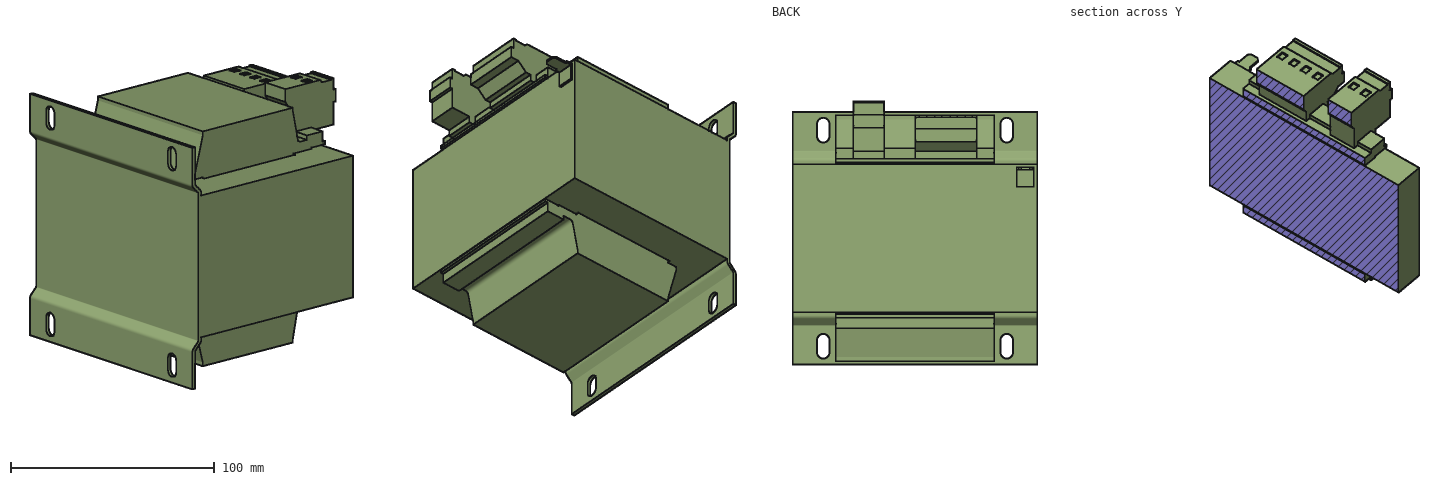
import cadquery as cq
import math


WIDTH = 120.05
FLANGE_HALF_HEIGHT = 62.0
PLATE_THICKNESS = 1.8
PLATE_OFFSET = 4.0
BEND_START_Z = 38.0
BEND_RISE = PLATE_OFFSET
BEND_INNER_RADIUS = 0.5
BEND_OUTER_RADIUS = BEND_INNER_RADIUS + PLATE_THICKNESS
SLOT_LENGTH = 12.0
SLOT_WIDTH = 6.0
SLOT_X = 45.0
SLOT_Z = 53.0

CORE_HALF_HEIGHT = 36.4
CORE_FRONT_Y = PLATE_OFFSET + PLATE_THICKNESS
CORE_BACK_Y = 105.4
WINDOW_HALF_WIDTH = 40.0
WINDOW_FRONT_Y = 25.7
WINDOW_BACK_Y = 85.4

COVER_HALF_WIDTH = 38.8
COVER_TOP_Z = 60.3
COVER_EDGE_BAND = 2.0
COVER_CLEARANCE = 0.3
COVER_FRONT_Y = 20.4
COVER_TOP_FRONT_Y = WINDOW_FRONT_Y
COVER_TOP_BACK_Y = 84.8
COVER_FOOT_BACK_Y = 88.3
FOOT_Z = 41.9
FOOT_FILLET = 2.0
RAIL_Z = 44.2
RAIL_FRONT_Y = 94.0
RAIL_BACK_Y = 104.3
LIP_BACK_Y = 105.9
LIP_TOP_Z = 38.9
LIP_BOTTOM_Z = 37.3
LIP_GAP_FRONT_Y = 97.2

TERMINAL_WIDTH = 15.0
TERMINAL_PAIR_LEFT_X = -30.2
TERMINAL_SINGLE_LEFT_X = 15.2
TERMINAL_FRONT_Y = 87.5
TERMINAL_STEM_FRONT_Y = 91.3
TERMINAL_STEM_BACK_Y = 108.0
TERMINAL_REAR_Y = 119.1
TERMINAL_HOOK_Y = 120.6
TERMINAL_TOP_Z = COVER_TOP_Z
TERMINAL_RAISE = 7.0
TERMINAL_ARM_Z = 42.6
TERMINAL_BOTTOM_Z = 39.1
FACE_HEIGHT = 6.6
FACE_CHAMFER_HEIGHT = 5.6
GROOVE_FRONT_Y = 110.3
GROOVE_FLOOR_FRONT_Y = 111.6
GROOVE_BACK_Y = 117.4
GROOVE_DEPTH = 1.4
REAR_LIP_DROP = 0.85
HOOK_TOP_DROP = 6.7
HOOK_BOTTOM_DROP = 13.1
BELLY_START_Y = 116.0
BELLY_END_Y = 111.0
WIRE_HOLE_WIDTH = 3.5
WIRE_HOLE_LENGTH = 4.2
WIRE_HOLE_DEPTH = 0.8
WIRE_HOLE_Y = 104.7
WIRE_HOLE_SPACING = 7.5

TAB_X = -54.1
TAB_BASE_WIDTH = 8.5
TAB_BLADE_WIDTH = 6.6
TAB_THICKNESS = 1.0
TAB_TOP_Z = 34.7
TAB_BOTTOM_Z = 25.2
TAB_SHOULDER_Y = 109.0
TAB_END_Y = 116.7
TAB_CHAMFER = 1.2


def box(x_min, x_max, y_min, y_max, z_min, z_max):
    size = (x_max - x_min, y_max - y_min, z_max - z_min)
    return cq.Workplane("XY").box(*size, centered=False).translate((x_min, y_min, z_min))


def extrude_profile(points, x_min, x_max):
    """Extrude a closed (y, z) outline along X."""
    profile = cq.Workplane("YZ").workplane(offset=x_min).polyline(points).close()
    return profile.extrude(x_max - x_min)


def fillet_x_edge(body, y, z, radius):
    """Round the edge parallel to X that passes nearest to (y, z)."""
    return body.edges(cq.selectors.NearestToPointSelector((0, y, z))).fillet(radius)


def make_flange():
    """Upper joggled flange of the mounting plate, from mid height to the top."""
    half_bend = math.atan2(PLATE_OFFSET, BEND_RISE) / 2
    back_shift = PLATE_THICKNESS * math.tan(half_bend)
    bend_end_z = BEND_START_Z + BEND_RISE
    back_y = PLATE_OFFSET + PLATE_THICKNESS
    outline = [
        (PLATE_OFFSET, 0),
        (PLATE_OFFSET, BEND_START_Z),
        (0, bend_end_z),
        (0, FLANGE_HALF_HEIGHT),
        (PLATE_THICKNESS, FLANGE_HALF_HEIGHT),
        (PLATE_THICKNESS, bend_end_z + back_shift),
        (back_y, BEND_START_Z + back_shift),
        (back_y, 0),
    ]
    flange = extrude_profile(outline, -WIDTH / 2, WIDTH / 2)
    flange = fillet_x_edge(flange, PLATE_OFFSET, BEND_START_Z, BEND_INNER_RADIUS)
    flange = fillet_x_edge(flange, 0, bend_end_z, BEND_OUTER_RADIUS)
    flange = fillet_x_edge(flange, PLATE_THICKNESS, bend_end_z + back_shift, BEND_INNER_RADIUS)
    flange = fillet_x_edge(flange, back_y, BEND_START_Z + back_shift, BEND_OUTER_RADIUS)
    slots = (
        cq.Workplane("XZ")
        .pushPoints([(-SLOT_X, SLOT_Z), (SLOT_X, SLOT_Z)])
        .slot2D(SLOT_LENGTH, SLOT_WIDTH, 90)
        .extrude(-PLATE_THICKNESS)
    )
    return flange.cut(slots)


def make_core():
    """Core block with the winding in its window and a narrow gap on each side."""
    core = box(
        -WIDTH / 2, WIDTH / 2, CORE_FRONT_Y, CORE_BACK_Y, -CORE_HALF_HEIGHT, CORE_HALF_HEIGHT
    )
    gap = box(
        COVER_HALF_WIDTH, WINDOW_HALF_WIDTH, WINDOW_FRONT_Y, WINDOW_BACK_Y,
        -CORE_HALF_HEIGHT, CORE_HALF_HEIGHT,
    )
    return core.cut(gap).cut(gap.mirror("YZ"))


def make_cover():
    """Upper winding cover: stands on the winding, clears the core, carries the terminal rail."""
    base_z = CORE_HALF_HEIGHT + COVER_CLEARANCE
    outline = [
        (WINDOW_FRONT_Y, CORE_HALF_HEIGHT),
        (WINDOW_FRONT_Y, base_z),
        (COVER_FRONT_Y, base_z),
        (COVER_FRONT_Y, base_z + COVER_EDGE_BAND),
        (COVER_TOP_FRONT_Y, COVER_TOP_Z - COVER_EDGE_BAND),
        (COVER_TOP_FRONT_Y, COVER_TOP_Z),
        (COVER_TOP_BACK_Y, COVER_TOP_Z),
        (COVER_TOP_BACK_Y, COVER_TOP_Z - COVER_EDGE_BAND),
        (COVER_FOOT_BACK_Y, FOOT_Z),
        (RAIL_FRONT_Y, FOOT_Z),
        (RAIL_FRONT_Y, RAIL_Z),
        (RAIL_BACK_Y, RAIL_Z),
        (RAIL_BACK_Y, LIP_TOP_Z),
        (LIP_BACK_Y, LIP_TOP_Z),
        (LIP_BACK_Y, LIP_BOTTOM_Z),
        (LIP_GAP_FRONT_Y, LIP_BOTTOM_Z),
        (LIP_GAP_FRONT_Y, base_z),
        (WINDOW_BACK_Y, base_z),
        (WINDOW_BACK_Y, CORE_HALF_HEIGHT),
    ]
    cover = extrude_profile(outline, -COVER_HALF_WIDTH, COVER_HALF_WIDTH)
    return fillet_x_edge(cover, COVER_FOOT_BACK_Y, FOOT_Z, FOOT_FILLET)


def make_terminal(left_x, top_z, belly):
    """Terminal block; belly is the (y, z) outline from the hook down to the arm."""
    face_bottom_z = top_z - FACE_HEIGHT
    outline = [
        (TERMINAL_STEM_FRONT_Y, TERMINAL_BOTTOM_Z),
        (TERMINAL_STEM_FRONT_Y, face_bottom_z - FACE_CHAMFER_HEIGHT),
        (TERMINAL_FRONT_Y, face_bottom_z),
        (TERMINAL_FRONT_Y, top_z),
        (GROOVE_FRONT_Y, top_z),
        (GROOVE_FLOOR_FRONT_Y, top_z - GROOVE_DEPTH),
        (GROOVE_BACK_Y, top_z - GROOVE_DEPTH),
        (GROOVE_BACK_Y, top_z - REAR_LIP_DROP),
        (TERMINAL_REAR_Y, top_z - REAR_LIP_DROP),
        (TERMINAL_REAR_Y, top_z - HOOK_TOP_DROP),
        (TERMINAL_HOOK_Y, top_z - HOOK_TOP_DROP),
        (TERMINAL_HOOK_Y, top_z - HOOK_BOTTOM_DROP),
        *belly,
        (TERMINAL_STEM_BACK_Y, TERMINAL_ARM_Z),
        (TERMINAL_STEM_BACK_Y, TERMINAL_BOTTOM_Z),
    ]
    terminal = extrude_profile(outline, left_x, left_x + TERMINAL_WIDTH)
    middle_x = left_x + TERMINAL_WIDTH / 2
    wire_holes = (
        cq.Workplane("XY", origin=(middle_x, WIRE_HOLE_Y, top_z))
        .rarray(WIRE_HOLE_SPACING, 1, 2, 1)
        .rect(WIRE_HOLE_WIDTH, WIRE_HOLE_LENGTH)
        .extrude(-WIRE_HOLE_DEPTH)
    )
    return terminal.cut(wire_holes)


def make_terminals():
    """Two low terminals side by side and one raised terminal."""
    low_belly = [
        (BELLY_START_Y, TERMINAL_TOP_Z - HOOK_BOTTOM_DROP),
        (BELLY_END_Y, TERMINAL_ARM_Z),
    ]
    raised_top_z = TERMINAL_TOP_Z + TERMINAL_RAISE
    raised_belly = [
        (TERMINAL_REAR_Y, raised_top_z - HOOK_BOTTOM_DROP),
        (TERMINAL_REAR_Y, TERMINAL_ARM_Z),
    ]
    second_left_x = TERMINAL_PAIR_LEFT_X + TERMINAL_WIDTH
    return [
        make_terminal(TERMINAL_PAIR_LEFT_X, TERMINAL_TOP_Z, low_belly),
        make_terminal(second_left_x, TERMINAL_TOP_Z, low_belly),
        make_terminal(TERMINAL_SINGLE_LEFT_X, raised_top_z, raised_belly),
    ]


def make_earth_tab():
    """L-shaped tab: a foot flat on the core back and a blade pointing to +Y."""
    base_left_x = TAB_X - TAB_BASE_WIDTH / 2
    base_right_x = TAB_X + TAB_BASE_WIDTH / 2
    foot = box(
        base_left_x, base_right_x, CORE_BACK_Y, CORE_BACK_Y + TAB_THICKNESS, TAB_BOTTOM_Z, TAB_TOP_Z
    )
    blade_bottom_z = TAB_TOP_Z - TAB_THICKNESS
    shoulder = box(base_left_x, base_right_x, CORE_BACK_Y, TAB_SHOULDER_Y, blade_bottom_z, TAB_TOP_Z)
    blade = box(
        TAB_X - TAB_BLADE_WIDTH / 2, TAB_X + TAB_BLADE_WIDTH / 2,
        CORE_BACK_Y, TAB_END_Y, blade_bottom_z, TAB_TOP_Z,
    )
    blade = blade.edges("|Z and >Y").chamfer(TAB_CHAMFER)
    return foot.union(shoulder).union(blade)


upper_flange = make_flange()
upper_cover = make_cover()

result = make_core()
for half in (upper_flange, upper_cover):
    result = result.union(half).union(half.mirror("XY"))
for terminal_block in make_terminals():
    result = result.union(terminal_block)
result = result.union(make_earth_tab())